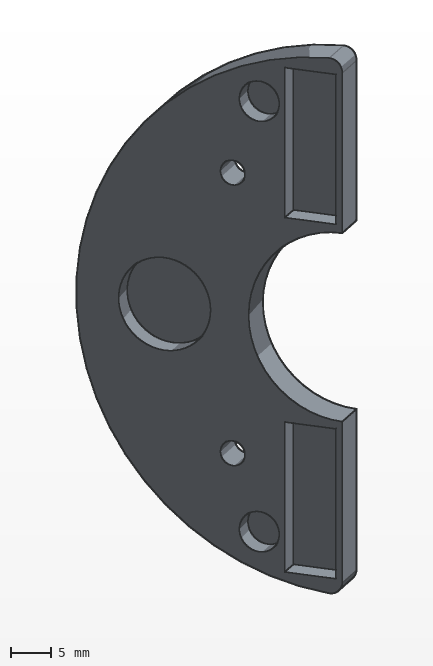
import cadquery as cq
import math

thickness = 5.0
overall_height = 70.9
bore_radius = 12.5
corner_radius = 1.7

corner_center_z = overall_height / 2 - corner_radius
outer_radius = corner_radius + math.hypot(corner_center_z, corner_radius)

pocket_depth = 3.0

slot_width = 6.8
slot_length = 19.85
slot_edge_gap = 0.85
slot_center_z = 23.5

center_pocket_diameter = 12.3
center_pocket_x = -23.7
end_pocket_diameter = 5.3
end_pocket_x = -11.1
end_pocket_z = 28.5
through_hole_diameter = 3.25
through_hole_x = -14.6
through_hole_z = 18.6


def front_plane():
    """Sketch plane on the front face; local axes are X and Z, solids extrude toward -Y."""
    return cq.Workplane("XZ")


def half_ring():
    plate = (
        front_plane()
        .moveTo(0, outer_radius)
        .threePointArc((-outer_radius, 0), (0, -outer_radius))
        .lineTo(0, -bore_radius)
        .threePointArc((-bore_radius, 0), (0, bore_radius))
        .close()
        .extrude(-thickness)
    )
    outer_corners = plate.edges("|Y").edges(">Z or <Z")
    return outer_corners.fillet(corner_radius)


def round_cut(points, diameter, depth):
    return front_plane().pushPoints(points).circle(diameter / 2).extrude(-depth)


def mirrored_points(x, z):
    return [(x, z), (x, -z)]


def slot_cuts():
    slot_x = -slot_edge_gap - slot_width / 2
    centers = mirrored_points(slot_x, slot_center_z)
    return front_plane().pushPoints(centers).rect(slot_width, slot_length).extrude(-pocket_depth)


result = (
    half_ring()
    .cut(slot_cuts())
    .cut(round_cut([(center_pocket_x, 0)], center_pocket_diameter, pocket_depth))
    .cut(round_cut(mirrored_points(end_pocket_x, end_pocket_z), end_pocket_diameter, pocket_depth))
    .cut(round_cut(mirrored_points(through_hole_x, through_hole_z), through_hole_diameter, thickness))
)